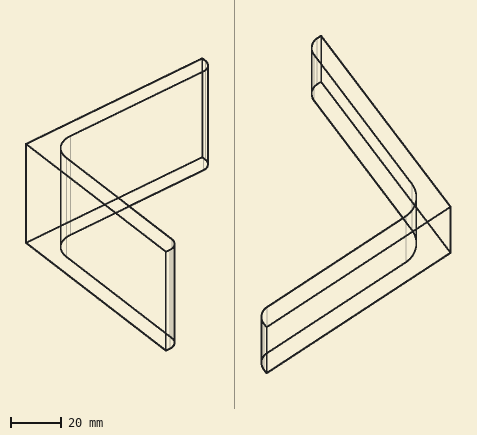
import cadquery as cq

leg_length = 90.0
leg_thickness = 7.0
piece_height = 50.0
root_radius = 10.0
toe_radius = 5.0


def angle_blank():
    """Sharp-cornered L section with its heel on the Z axis."""
    outline = [
        (0, 0),
        (leg_length, 0),
        (leg_length, leg_thickness),
        (leg_thickness, leg_thickness),
        (leg_thickness, leg_length),
        (0, leg_length),
    ]
    return cq.Workplane("XY").polyline(outline).close().extrude(piece_height)


def round_upright_edge(body, x, y, radius):
    """Fillet the vertical edge that passes through (x, y)."""
    edge_midpoint = (x, y, piece_height / 2)
    return body.edges(cq.selectors.NearestToPointSelector(edge_midpoint)).fillet(radius)


angle = angle_blank()
angle = round_upright_edge(angle, leg_thickness, leg_thickness, root_radius)
for toe_x, toe_y in [(leg_length, leg_thickness), (leg_thickness, leg_length)]:
    angle = round_upright_edge(angle, toe_x, toe_y, toe_radius)

result = angle